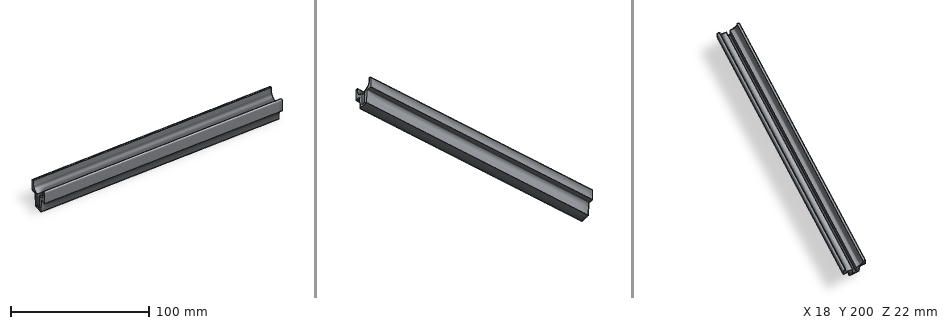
import cadquery as cq

length = 200.0
width = 18.0
height = 22.0

wall = 2.0
rim_radius = 1.0
flank_top_depth = 3.5
flank_radius = 7.0
floor_half_width = 4.5
floor_edge_depth = 7.5
floor_radius = 12.0
slot_mouth_depth = 8.8
ledge_depth = 10.2
ledge_root_radius = 0.5

stem_upper_width = 8.8
stem_lower_width = 8.0
stem_taper_top = 6.5
stem_taper_bottom = 4.5
slot_width = 3.0
base_thickness = 2.2


def half_profile():
    """Closed outline of the +X half of the cross-section, in the XZ plane."""
    outer_edge = width / 2
    stem_edge = stem_upper_width / 2
    slot_edge = slot_width / 2
    ledge_level = height - ledge_depth
    wall_inside = outer_edge - wall
    return (
        cq.Workplane("XZ", origin=(0, length / 2, 0))
        .lineTo(stem_lower_width / 2, 0)
        .lineTo(stem_lower_width / 2, stem_taper_bottom)
        .lineTo(stem_edge, stem_taper_top)
        .lineTo(stem_edge, ledge_level - ledge_root_radius)
        .radiusArc((stem_edge + ledge_root_radius, ledge_level), ledge_root_radius)
        .lineTo(outer_edge, ledge_level)
        .lineTo(outer_edge, height - rim_radius)
        .radiusArc((outer_edge - rim_radius, height), -rim_radius)
        .lineTo(wall_inside, height)
        .lineTo(wall_inside, height - flank_top_depth)
        .radiusArc((floor_half_width, height - floor_edge_depth), flank_radius)
        .radiusArc((slot_edge, height - slot_mouth_depth), floor_radius)
        .lineTo(slot_edge, base_thickness)
        .lineTo(0, base_thickness)
        .close()
    )


half_rail = half_profile().extrude(length)
result = half_rail.union(half_rail.mirror("YZ")).clean()